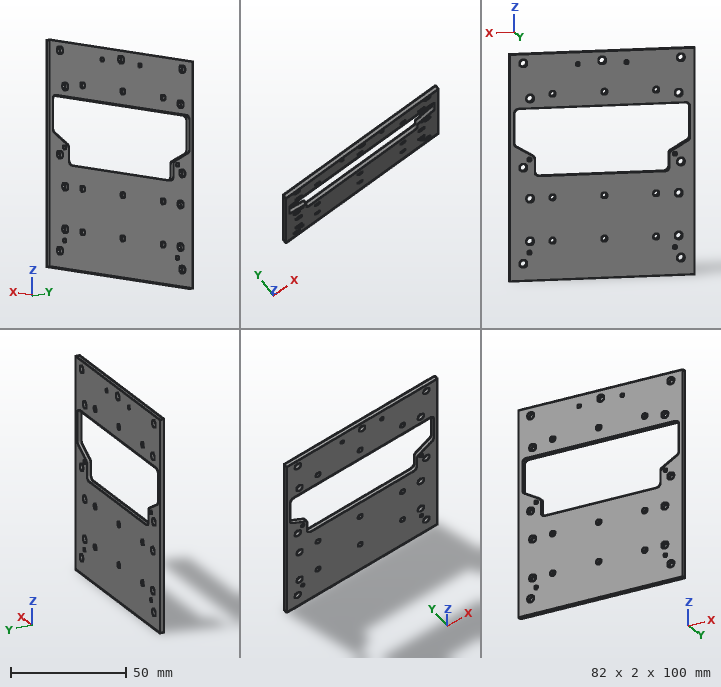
import cadquery as cq
import math

plate_width = 82
plate_thickness = 2
plate_height = 100

window_top = 76
window_bottom = 46
window_upper_half_width = 39
window_lower_half_width = 29.8
shoulder_outer_height = 59.8
shoulder_angle = 30
window_corner_radius = 2

mount_diameter = 3.3
mount_half_spacing = 35
mount_top_height = 96
mount_heights = [mount_top_height, 50, 7.6]

module_center_x = -1
module_large_diameter = 3.3
module_large_half_spacing = 33
module_large_heights = [80.4, 36.2, 17.4]
module_small_diameter = 2.5
module_small_spacing = 23
module_small_heights = [82.1, 36.4, 17.3]

pilot_diameter = 1.6
top_pilot_half_spacing = 10.8
top_pilot_height = 94.8
side_pilot_half_spacing = 32.3
side_pilot_heights = [53.5, 12.4]


def through_cutter(sketch):
    """Extrude an XZ profile through the full plate thickness."""
    return sketch.extrude(plate_thickness, both=True)


def hole_cutter(points, diameter):
    return through_cutter(cq.Workplane("XZ").pushPoints(points).circle(diameter / 2))


def pairs(center_x, half_spacing, heights):
    """Hole centres on both sides of a vertical line at each height."""
    return [(center_x + side * half_spacing, z) for z in heights for side in (-1, 1)]


def window_cutter():
    shoulder_run = window_upper_half_width - window_lower_half_width
    shoulder_drop = shoulder_run * math.tan(math.radians(shoulder_angle))
    right_side = [
        (window_lower_half_width, window_bottom),
        (window_lower_half_width, shoulder_outer_height - shoulder_drop),
        (window_upper_half_width, shoulder_outer_height),
        (window_upper_half_width, window_top),
    ]
    left_side = [(-x, z) for x, z in reversed(right_side)]
    outline = cq.Workplane("XZ").polyline(right_side + left_side).close()
    return through_cutter(outline).edges("|Y").fillet(window_corner_radius)


plate = cq.Workplane("XY").box(
    plate_width, plate_thickness, plate_height, centered=(True, True, False)
)

mount_points = pairs(0, mount_half_spacing, mount_heights) + [(0, mount_top_height)]
module_large_points = pairs(module_center_x, module_large_half_spacing, module_large_heights)
module_small_points = [
    (module_center_x + column * module_small_spacing, z)
    for z in module_small_heights
    for column in (-1, 0, 1)
]
pilot_points = pairs(0, top_pilot_half_spacing, [top_pilot_height])
pilot_points += pairs(0, side_pilot_half_spacing, side_pilot_heights)

result = (
    plate.cut(window_cutter())
    .cut(hole_cutter(mount_points, mount_diameter))
    .cut(hole_cutter(module_large_points, module_large_diameter))
    .cut(hole_cutter(module_small_points, module_small_diameter))
    .cut(hole_cutter(pilot_points, pilot_diameter))
)